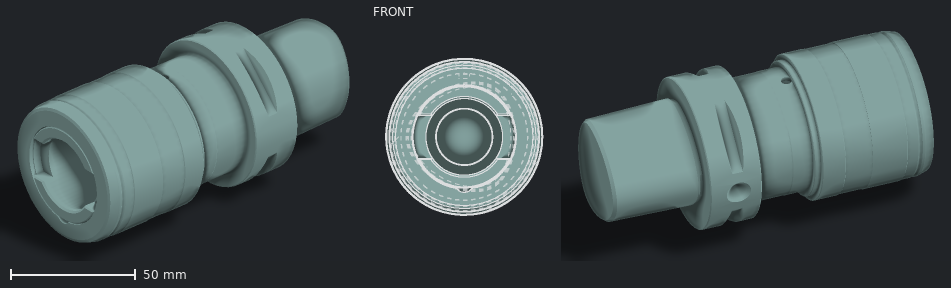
import cadquery as cq
import math


total_length = 135.0
nut_back = 48.5
ring_back = 51.0
neck_step = 59.3
flange_front = 74.9
flange_back = 96.9
undercut_back = 99.1
taper_start = 99.9

flange_radius = 63.0 / 2
flange_chamfer = 0.4
neck_radius = 25.4
neck_front_radius = 25.5
neck_step_length = 0.4
neck_fillet = 1.0
sleeve_radius = 20.5
sleeve_chamfer = 0.4
bore_radius = 15.4
bore_chamfer = 0.8
bore_depth = 70.2
stop_radius = 11.5
stop_chamfer = 0.3
stop_depth = 81.0

slot_half_width = 8.6
slot_depth = 5.5
slot_chamfer = 0.5

oil_hole_y = 52.9
oil_hole_radius = 2.2
oil_hole_chamfer = 0.4
oil_hole_depth = 2.0

notch_y = 84.9
notch_floor_distance = 27.8
notch_floor_width = 4.5
notch_mouth_width = 7.8
notch_count = 4
notch_start_angle = 45
index_cone_radius = 10.4 / 2

lobe_count = 3
lobe_height = 1.4
lobe_angle = 180.0
shank_base_radius = 22.0
taper_ratio = 1 / 40
shank_chamfer_length = 1.4
shank_chamfer_inset = 1.1
undercut_inset = 0.4
relief_radius = 22.4
relief_length = 1.1
curve_points = 72

nut_radius = 30.2
nut_relief_radius = 30.0
nut_edge_chamfer = 0.3
relief_back = 38.5
relief_front = 27.0
front_relief_back = 11.9
groove_back = 7.4
groove_chamfer_length = 0.5
groove_chamfer_depth = 0.3
groove_front = 5.5
groove_radius = 1.0
rim_front = 4.5
cone_back = 4.0
cone_back_radius = 29.8
cone_front = 0.4
cone_front_radius = 28.8
face_radius = 27.5
mouth_radius = 20.9
mouth_depth = 1.9
mark_depth = 1.4
mark_radius = 3.6
mark_length = 2.7

ring_radius = 28.0
ring_chamfer = 0.3


def revolve_about_y(outline):
    """Solid of revolution from an outline on the +X side of the Y axis."""
    return outline.close().revolve(360, (0, 0, 0), (0, 1, 0))


def lobed_wire(y, inset=0.0):
    """Closed three-lobed curve at height y on the taper, given by its support function."""
    mean_radius = shank_base_radius - taper_ratio * (y - taper_start) - inset
    points = []
    for i in range(curve_points):
        angle = 2 * math.pi * i / curve_points
        phase = lobe_count * (angle - math.radians(lobe_angle))
        reach = mean_radius + lobe_height * math.cos(phase)
        slope = -lobe_count * lobe_height * math.sin(phase)
        x = reach * math.cos(angle) - slope * math.sin(angle)
        z = reach * math.sin(angle) + slope * math.cos(angle)
        points.append(cq.Vector(x, y, z))
    return cq.Wire.assembleEdges([cq.Edge.makeSpline(points, periodic=True)])


def lobed_frustum(y_start, y_end, inset_start=0.0, inset_end=0.0):
    """Straight-sided body between two lobed curves, each inset from the taper."""
    wires = [lobed_wire(y_start, inset_start), lobed_wire(y_end, inset_end)]
    return cq.Workplane(obj=cq.Solid.makeLoft(wires, True))


def make_undercut_limit():
    """Cylinder that opens into a cone; it trims the three lobes next to the flange."""
    cone_start = flange_back + relief_length
    cone_end_radius = relief_radius + undercut_back - cone_start
    outline = (
        cq.Workplane("XY")
        .moveTo(0, flange_back)
        .lineTo(relief_radius, flange_back)
        .lineTo(relief_radius, cone_start)
        .lineTo(cone_end_radius, undercut_back)
        .lineTo(0, undercut_back)
    )
    return revolve_about_y(outline)


def make_shank():
    chamfer_start = total_length - shank_chamfer_length
    undercut = lobed_frustum(flange_back, undercut_back, undercut_inset, undercut_inset)
    undercut = undercut.intersect(make_undercut_limit())
    step = lobed_frustum(undercut_back, taper_start)
    taper = lobed_frustum(taper_start, chamfer_start)
    end = lobed_frustum(chamfer_start, total_length, 0, shank_chamfer_inset)
    return undercut.union(step).union(taper).union(end)


def make_turned_body():
    """Sleeve, neck and flange as one revolved profile."""
    outline = (
        cq.Workplane("XY")
        .moveTo(0, 0)
        .lineTo(sleeve_radius - sleeve_chamfer, 0)
        .lineTo(sleeve_radius, sleeve_chamfer)
        .lineTo(sleeve_radius, nut_back)
        .lineTo(neck_front_radius, nut_back)
        .lineTo(neck_front_radius, neck_step)
        .lineTo(neck_radius, neck_step + neck_step_length)
        .lineTo(neck_radius, flange_front - neck_fillet)
        .radiusArc((neck_radius + neck_fillet, flange_front), neck_fillet)
        .lineTo(flange_radius - flange_chamfer, flange_front)
        .lineTo(flange_radius, flange_front + flange_chamfer)
        .lineTo(flange_radius, flange_back - flange_chamfer)
        .lineTo(flange_radius - flange_chamfer, flange_back)
        .lineTo(0, flange_back)
    )
    return revolve_about_y(outline)


def make_bore():
    """Stepped clamping bore with chamfered edges."""
    outline = (
        cq.Workplane("XY")
        .moveTo(0, 0)
        .lineTo(bore_radius + bore_chamfer, 0)
        .lineTo(bore_radius, bore_chamfer)
        .lineTo(bore_radius, bore_depth)
        .lineTo(stop_radius, bore_depth)
        .lineTo(stop_radius - stop_chamfer, bore_depth + stop_chamfer)
        .lineTo(stop_radius - stop_chamfer, stop_depth)
        .lineTo(0, stop_depth)
    )
    return revolve_about_y(outline)


def make_driving_slot():
    """Slot across the sleeve mouth, with chamfered edges."""
    mouth = slot_half_width + slot_chamfer
    outline = [
        (0, -mouth),
        (0, mouth),
        (slot_chamfer, slot_half_width),
        (slot_depth, slot_half_width),
        (slot_depth, -slot_half_width),
        (slot_chamfer, -slot_half_width),
    ]
    return cq.Workplane("YZ").polyline(outline).close().extrude(sleeve_radius, both=True)


def make_oil_hole():
    """Blind radial hole on top of the neck, with a chamfered mouth."""
    floor = neck_front_radius - oil_hole_depth
    plane = cq.Workplane("XY", origin=(0, oil_hole_y, floor))
    hole = plane.circle(oil_hole_radius).extrude(oil_hole_depth)
    mouth = cq.Solid.makeCone(
        oil_hole_radius,
        oil_hole_radius + oil_hole_chamfer,
        oil_hole_chamfer,
        cq.Vector(0, oil_hole_y, neck_front_radius - oil_hole_chamfer),
        cq.Vector(0, 0, 1),
    )
    return hole.union(cq.Workplane(obj=mouth))


def make_gripper_notch(angle):
    """Straight V-sided notch across the flange, with a flat floor."""
    height = flange_radius - notch_floor_distance
    outline = [
        (notch_floor_distance, notch_y - notch_floor_width / 2),
        (notch_floor_distance, notch_y + notch_floor_width / 2),
        (notch_floor_distance + height, notch_y + notch_mouth_width / 2),
        (notch_floor_distance + height, notch_y - notch_mouth_width / 2),
    ]
    notch = cq.Workplane("XY").polyline(outline).close().extrude(flange_radius, both=True)
    return notch.rotate((0, 0, 0), (0, 1, 0), angle)


def make_index_cone():
    """Right-angled conical hole in the -X side of the flange."""
    cone = cq.Solid.makeCone(
        index_cone_radius,
        0,
        index_cone_radius,
        cq.Vector(-flange_radius, notch_y, 0),
        cq.Vector(1, 0, 0),
    )
    return cq.Workplane(obj=cone)


def make_holder():
    holder = make_turned_body().union(make_shank())
    holder = holder.cut(make_bore()).cut(make_driving_slot()).cut(make_oil_hole())
    for i in range(notch_count):
        holder = holder.cut(make_gripper_notch(notch_start_angle + 360 / notch_count * i))
    return holder.cut(make_index_cone())


def make_nut():
    """Turned sleeve around the holder, with a shallow round mark at the bottom of its mouth."""
    groove_edge_radius = nut_relief_radius - groove_chamfer_depth
    outline = (
        cq.Workplane("XY")
        .moveTo(sleeve_radius, mouth_depth)
        .lineTo(mouth_radius, mouth_depth)
        .lineTo(mouth_radius, 0)
        .lineTo(face_radius, 0)
        .lineTo(cone_front_radius, cone_front)
        .lineTo(cone_back_radius, cone_back)
        .lineTo(nut_relief_radius, rim_front)
        .lineTo(nut_relief_radius, groove_front)
        .radiusArc((groove_edge_radius, groove_back - groove_chamfer_length), groove_radius)
        .lineTo(nut_relief_radius, groove_back)
        .lineTo(nut_relief_radius, front_relief_back)
        .lineTo(nut_radius, front_relief_back + nut_edge_chamfer)
        .lineTo(nut_radius, relief_front)
        .lineTo(nut_relief_radius, relief_front)
        .lineTo(nut_relief_radius, relief_back)
        .lineTo(nut_radius, relief_back + nut_edge_chamfer)
        .lineTo(nut_radius, nut_back - nut_edge_chamfer)
        .lineTo(nut_radius - nut_edge_chamfer, nut_back)
        .lineTo(sleeve_radius, nut_back)
    )
    mark_z = -(mouth_radius + mark_depth - mark_radius)
    mark = cq.Workplane("XZ").center(0, mark_z).circle(mark_radius).extrude(-mark_length)
    return revolve_about_y(outline).cut(mark)


def make_ring():
    """Plain ring on the neck, against the back of the nut."""
    outline = (
        cq.Workplane("XY")
        .moveTo(neck_front_radius, nut_back)
        .lineTo(ring_radius, nut_back)
        .lineTo(ring_radius, ring_back - ring_chamfer)
        .lineTo(ring_radius - ring_chamfer, ring_back)
        .lineTo(neck_front_radius, ring_back)
    )
    return revolve_about_y(outline)


holder = make_holder()
nut = make_nut()
ring = make_ring()

result = cq.Compound.makeCompound([holder.val(), nut.val(), ring.val()])